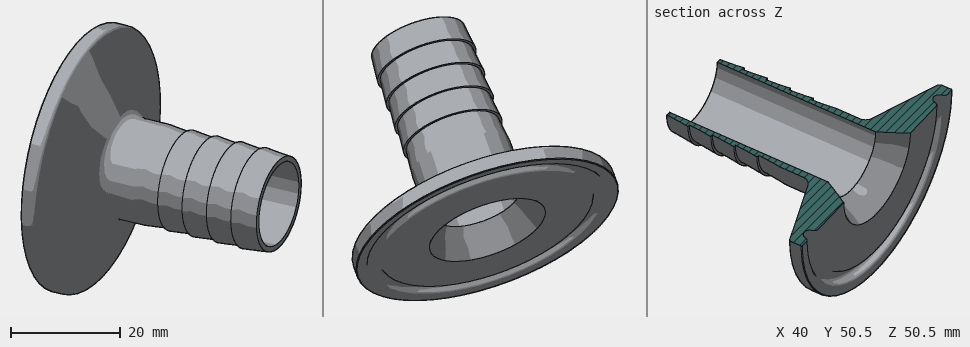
import cadquery as cq
import math


barb_pitch = 5.0
barb_count = 5
crest_radius = 9.5
root_radius = 9.0
neck_end = 3 * barb_pitch
total_length = neck_end + barb_count * barb_pitch

flange_radius = 25.25
face_edge_chamfer = 0.15
rim_width = 2.2
rim_fillet = 0.85
neck_fillet = 2.0
neck_fillet_end = 2 * barb_pitch
cone_angle = math.radians(20)

bore_radius = 8.0
mouth_radius = 11.15
mouth_angle = math.radians(30)
mouth_depth = (mouth_radius - bore_radius) / math.tan(mouth_angle)

groove_center_radius = 21.75
groove_depth = 1.7
groove_bottom_radius = 1.1
groove_lip_radius = 0.8
groove_flank_angle = math.radians(20)


def on_arc(center, radius, angle):
    """Point on a circle, with the angle measured from +X toward larger radius."""
    return (center[0] + radius * math.cos(angle), center[1] + radius * math.sin(angle))


def make_body():
    """Solid flange, neck and barbs."""
    rim_center = (rim_width, flange_radius - rim_fillet)
    neck_center = (neck_fillet_end, crest_radius + neck_fillet)
    rim_middle = (math.pi / 2 + cone_angle) / 2
    neck_start = math.pi + cone_angle
    neck_middle = (neck_start + 3 * math.pi / 2) / 2

    profile = (
        cq.Workplane("XZ")
        .moveTo(0, 0)
        .lineTo(0, flange_radius - face_edge_chamfer)
        .lineTo(face_edge_chamfer, flange_radius)
        .lineTo(rim_width, flange_radius)
        .threePointArc(
            on_arc(rim_center, rim_fillet, rim_middle),
            on_arc(rim_center, rim_fillet, cone_angle),
        )
        .lineTo(*on_arc(neck_center, neck_fillet, neck_start))
        .threePointArc(
            on_arc(neck_center, neck_fillet, neck_middle),
            (neck_fillet_end, crest_radius),
        )
    )
    for barb in range(barb_count):
        barb_start = neck_end + barb * barb_pitch
        profile = profile.lineTo(barb_start, crest_radius)
        profile = profile.lineTo(barb_start + barb_pitch, root_radius)
    return profile.lineTo(total_length, 0).close().revolve(360, (0, 0), (1, 0))


def make_bore():
    """Through bore with a conical mouth at the flange face."""
    return (
        cq.Workplane("XZ")
        .polyline([
            (0, 0),
            (0, mouth_radius),
            (mouth_depth, bore_radius),
            (total_length, bore_radius),
            (total_length, 0),
        ])
        .close()
        .revolve(360, (0, 0), (1, 0))
    )


def make_groove():
    """Ring with a round bottom, straight flanks and rounded lips."""
    bottom_center = (groove_depth - groove_bottom_radius, groove_center_radius)
    flank_normal = math.pi / 2 - groove_flank_angle
    center_offset_x = groove_lip_radius - bottom_center[0]
    center_gap = groove_bottom_radius + groove_lip_radius
    center_offset_radial = (
        center_gap - center_offset_x * math.cos(flank_normal)
    ) / math.sin(flank_normal)
    outer_lip = (groove_lip_radius, groove_center_radius + center_offset_radial)
    inner_lip = (groove_lip_radius, groove_center_radius - center_offset_radial)
    lip_tangent = math.pi + flank_normal
    lip_middle = (math.pi + lip_tangent) / 2
    return (
        cq.Workplane("XZ")
        .moveTo(0, outer_lip[1])
        .threePointArc(
            on_arc(outer_lip, groove_lip_radius, lip_middle),
            on_arc(outer_lip, groove_lip_radius, lip_tangent),
        )
        .lineTo(*on_arc(bottom_center, groove_bottom_radius, flank_normal))
        .threePointArc(
            (groove_depth, groove_center_radius),
            on_arc(bottom_center, groove_bottom_radius, -flank_normal),
        )
        .lineTo(*on_arc(inner_lip, groove_lip_radius, -lip_tangent))
        .threePointArc(
            on_arc(inner_lip, groove_lip_radius, -lip_middle),
            (0, inner_lip[1]),
        )
        .close()
        .revolve(360, (0, 0), (1, 0))
    )


result = make_body().cut(make_bore()).cut(make_groove())